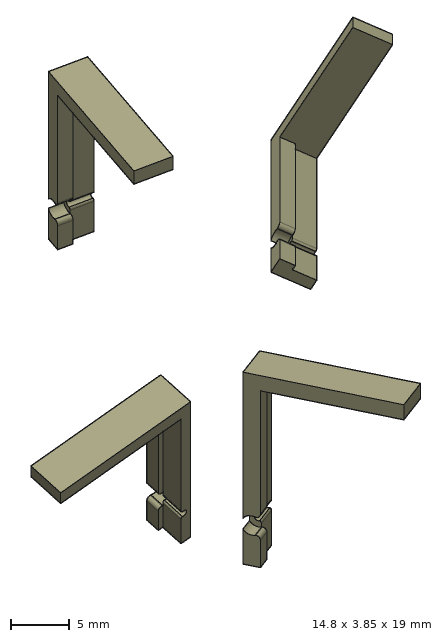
import cadquery as cq
import math

arm_length = 14.76
arm_thickness = 1.5
width = 3.85
height = 19.0
leg_height = height - arm_thickness

front_leg_thickness = 1.61
front_leg_depth = 1.5
back_leg_thickness = 1.1
back_leg_depth = width - front_leg_depth

seat_x = 0.8
seat_z = 4.0

front_seat_radius = 0.95
front_mouth_half_height = 0.89
front_mouth_rounding = 0.4

back_seat_radius = 0.35
back_mouth_half_height = 0.3
back_mouth_rounding = 0.25


def make_arm():
    return cq.Workplane("XY").box(arm_length, width, arm_thickness, centered=False).translate((0, 0, leg_height))


def make_mouth(face_x, half_height, rounding, depth):
    """Channel from the seat axis to the plane x = face_x, flared by a quarter round on each lip.

    The profile is drawn about the seat axis.
    """
    face = face_x - seat_x
    flat_end = face - rounding
    flare_height = half_height + rounding
    diagonal = rounding * math.sqrt(0.5)
    round_middle_x = flat_end + diagonal
    round_middle_z = flare_height - diagonal
    return (
        cq.Workplane("XZ")
        .moveTo(0, half_height)
        .lineTo(flat_end, half_height)
        .threePointArc((round_middle_x, round_middle_z), (face, flare_height))
        .lineTo(face, -flare_height)
        .threePointArc((round_middle_x, -round_middle_z), (flat_end, -half_height))
        .lineTo(0, -half_height)
        .close()
        .extrude(-depth)
    )


def make_leg_section(thickness, start_y, depth, seat_radius, mouth_half_height, mouth_rounding):
    """One depth of the leg with its round seat and the mouth that opens towards +X."""
    section = cq.Workplane("XY").box(thickness, depth, leg_height, centered=False)
    seat = cq.Workplane("XZ").circle(seat_radius).extrude(-depth)
    mouth = make_mouth(thickness, mouth_half_height, mouth_rounding, depth)
    for cutter in (seat, mouth):
        section = section.cut(cutter.translate((seat_x, 0, seat_z)))
    return section.translate((0, start_y, 0))


front_leg = make_leg_section(
    front_leg_thickness,
    0,
    front_leg_depth,
    front_seat_radius,
    front_mouth_half_height,
    front_mouth_rounding,
)
back_leg = make_leg_section(
    back_leg_thickness,
    front_leg_depth,
    back_leg_depth,
    back_seat_radius,
    back_mouth_half_height,
    back_mouth_rounding,
)

result = make_arm().union(back_leg).union(front_leg).clean()